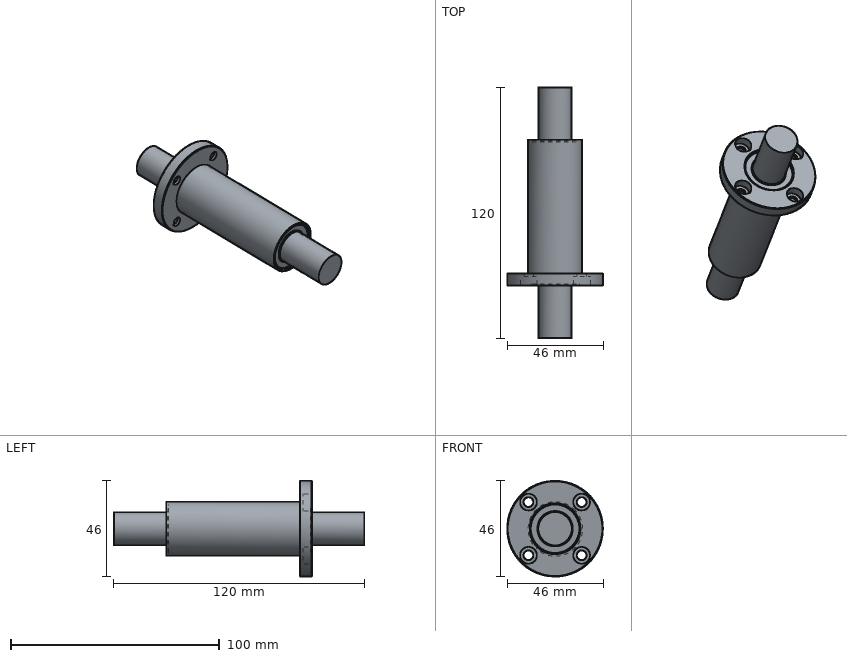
import cadquery as cq

shaft_length = 120.0
shaft_diameter = 16.0

body_length = 70.0
body_diameter = 26.0
flange_diameter = 46.0
flange_thickness = 6.0
flange_chamfer = 0.4

recess_diameter = 23.2
recess_depth = 1.0
mouth_diameter = 24.5
mouth_depth = 0.4
lip_diameter = 17.0
lip_height = 0.5

bolt_circle_diameter = 36.0
hole_diameter = 4.5
counterbore_diameter = 8.0
counterbore_depth = 4.5
hole_count = 4
first_hole_angle = 45.0

body_front = -body_length / 2


def cylinder(diameter, start, length):
    """Solid cylinder on the Y axis, from start towards +Y."""
    plane = cq.Plane(origin=(0, start, 0), xDir=(1, 0, 0), normal=(0, 1, 0))
    return cq.Workplane(plane).circle(diameter / 2).extrude(length)


def seal_recess():
    """Cutter for the body's -Y end: a flared mouth, then a straight recess around a tapered seal lip."""
    recess_floor = body_front + recess_depth
    profile = [
        (shaft_diameter / 2, body_front),
        (mouth_diameter / 2, body_front),
        (recess_diameter / 2, body_front + mouth_depth),
        (recess_diameter / 2, recess_floor),
        (lip_diameter / 2, recess_floor),
        (shaft_diameter / 2, recess_floor - lip_height),
    ]
    return cq.Workplane("XY").polyline(profile).close().revolve(360, (0, 0, 0), (0, 1, 0))


def flange():
    """Flange disc with both rims chamfered and a ring of counterbored holes."""
    disc = cylinder(flange_diameter, body_front, flange_thickness).edges().chamfer(flange_chamfer)
    return (
        disc.faces("<Y").workplane(origin=(0, body_front, 0))
        .polarArray(bolt_circle_diameter / 2, first_hole_angle, 360, hole_count)
        .cboreHole(hole_diameter, counterbore_diameter, counterbore_depth)
    )


front_recess = seal_recess()
back_recess = front_recess.mirror("XZ")

bushing = cylinder(body_diameter, body_front, body_length).union(flange())
bushing = bushing.cut(front_recess).cut(back_recess)

result = bushing.union(cylinder(shaft_diameter, -shaft_length / 2, shaft_length))